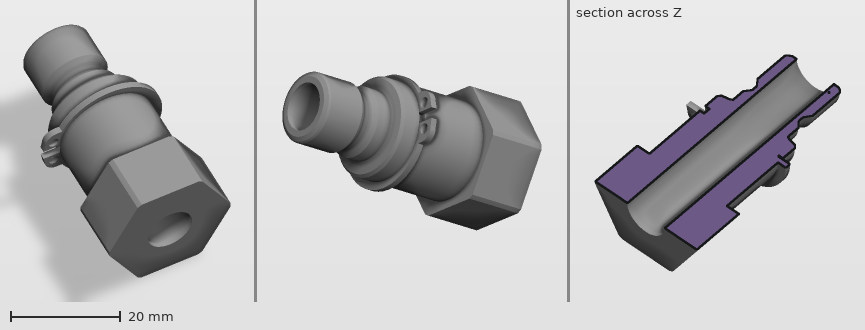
import cadquery as cq
import math

length = 46.5
bore_radius = 9.0 / 2
nose_radius = 13.5 / 2
nose_tip_radius = 11.4 / 2
nose_break_x = 0.45
nose_break_radius = 6.5
nose_tip_length = 0.9
body_radius = 19.0 / 2

lock_groove_start = 8.35
lock_floor_start = 9.85
lock_floor_end = 10.85
lock_bevel_length = 0.3
lock_bevel_height = 0.15
lock_groove_end = 12.25
lock_floor_radius = 11.4 / 2

shoulder_foot_x = 15.0
shoulder_step_x = 15.3
shoulder_step_radius = 7.2
shoulder_face_x = 15.4
shoulder_face_radius = 14.95 / 2
shoulder_rim_x = 15.65
shoulder_rim_radius = 18.0 / 2
shoulder_end_x = 16.28

hex_length = 11.62
hex_across_flats = 22.0
hex_corner_diameter = 24.85

ring_thickness = 1.25
ring_end_x = 20.95
ring_groove_width = 1.35
ring_inner_radius = 17.0 / 2
ring_outer_radius = 10.85
ring_offset = 0.6
ring_gap = 2.1
lug_hole_diameter = 2.0
lug_hole_y = -10.75
lug_hole_z = 2.55
lug_round_radius = 2.35
lug_round_y = -10.15
lug_tip_y = -12.85

hex_start_x = length - hex_length
ring_start_x = ring_end_x - ring_thickness


def section_at(x):
    """Plane across the axis at x, with local x along Y and local y along Z."""
    return cq.Workplane("YZ", origin=(x, 0, 0))


def turned_body():
    profile = (
        cq.Workplane("XY")
        .moveTo(0, 0)
        .lineTo(0, nose_tip_radius)
        .lineTo(nose_break_x, nose_break_radius)
        .lineTo(nose_tip_length, nose_radius)
        .lineTo(lock_groove_start, nose_radius)
        .lineTo(lock_floor_start - lock_bevel_length, lock_floor_radius + lock_bevel_height)
        .lineTo(lock_floor_start, lock_floor_radius)
        .lineTo(lock_floor_end, lock_floor_radius)
        .lineTo(lock_floor_end + lock_bevel_length, lock_floor_radius + lock_bevel_height)
        .lineTo(lock_groove_end, nose_radius)
        .lineTo(shoulder_foot_x, nose_radius)
        .lineTo(shoulder_step_x, shoulder_step_radius)
        .lineTo(shoulder_face_x, shoulder_face_radius)
        .lineTo(shoulder_rim_x, shoulder_rim_radius)
        .lineTo(shoulder_end_x, body_radius)
        .lineTo(length, body_radius)
        .lineTo(length, 0)
        .close()
    )
    body = profile.revolve(360, (0, 0, 0), (1, 0, 0))
    groove = (
        section_at(ring_end_x - ring_groove_width)
        .circle(body_radius)
        .circle(ring_inner_radius)
        .extrude(ring_groove_width)
    )
    return body.cut(groove)


def hexagon():
    across_corners = hex_across_flats / math.cos(math.pi / 6)
    prism = section_at(hex_start_x).polygon(6, across_corners).extrude(hex_length)
    envelope = section_at(hex_start_x).circle(hex_corner_diameter / 2).extrude(hex_length)
    return prism.intersect(envelope)


def ring_lug(side):
    """One plier lug; side is +1 above the gap and -1 below it."""
    lug_top = lug_hole_z + lug_round_radius
    bend = lug_round_radius * math.sqrt(0.5)
    return (
        section_at(ring_start_x)
        .moveTo(-ring_inner_radius, 0)
        .lineTo(lug_tip_y, 0)
        .lineTo(lug_tip_y, side * ring_gap / 2)
        .lineTo(lug_round_y - lug_round_radius, side * lug_hole_z)
        .threePointArc(
            (lug_round_y - bend, side * (lug_hole_z + bend)),
            (lug_round_y, side * lug_top),
        )
        .lineTo(-ring_inner_radius, side * lug_top)
        .close()
        .extrude(ring_thickness)
    )


def retaining_ring():
    ring = (
        section_at(ring_start_x)
        .center(ring_offset, 0)
        .circle(ring_outer_radius)
        .extrude(ring_thickness)
    )
    for side in (1, -1):
        ring = ring.union(ring_lug(side))
    lug_holes = (
        section_at(ring_start_x)
        .pushPoints([(lug_hole_y, side * lug_hole_z) for side in (1, -1)])
        .circle(lug_hole_diameter / 2)
        .extrude(ring_thickness)
    )
    gap = (
        section_at(ring_start_x)
        .center(lug_tip_y / 2, 0)
        .rect(-lug_tip_y, ring_gap)
        .extrude(ring_thickness)
    )
    inside = section_at(ring_start_x).circle(ring_inner_radius).extrude(ring_thickness)
    return ring.cut(inside).cut(lug_holes).cut(gap)


bore = section_at(0).circle(bore_radius).extrude(length)
result = turned_body().union(hexagon()).union(retaining_ring()).cut(bore)